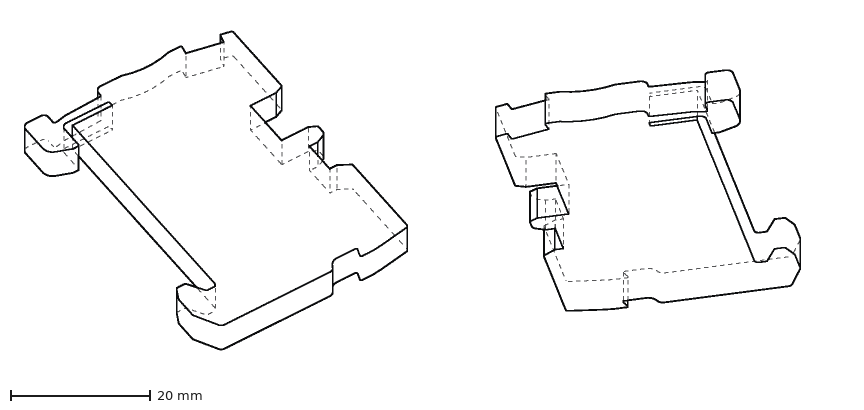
import cadquery as cq
import math

length = 48.2
height = 35.3
thickness = 5.2

rail_seat_y = 6.02
spring_leg_left_x = 1.65
slot_left_x = 3.2
slot_right_x = 4.05
slot_top_y = 12.9
foot_top_y = 4.68
foot_tip_x = 7.85
foot_heel_y = 4.05
shoulder_y = 12.65
hook_tip_x = 38.45
hook_root_x = 41.3
right_notch_x = 46.5
deep_pocket_left_x = 15.15
deep_pocket_right_x = 23.2
deep_pocket_floor_y = 29.4
shallow_pocket_left_x = 26.35
shallow_pocket_right_x = 31.55
shallow_pocket_floor_y = 32.1

waist_top_y = 25.35
waist_bottom_y = 17.2
waist_depth = 0.65

left_side = [
    (1.75, height, 0.35),
    (1.3, 33.4, 0.15),
    (2.8, 33.05, 0.15),
    (1.55, 27.35, 0),
    (0, 27.6, 0.3),
    (0, shoulder_y, 0.95),
    (spring_leg_left_x, shoulder_y, 0.25),
    (1.9, 6.25, 0),
    (2.2, 4.65, 0),
    (2.2, foot_heel_y, 0.25),
]
spring_foot = [
    (0, foot_heel_y, 0.7),
    (0, 0, 0.95),
    (6.5, 0, 1.75),
    (foot_tip_x, 3.55, 0.7),
    (foot_tip_x, foot_top_y, 0.25),
    (slot_left_x, foot_top_y, 0.85),
    (slot_left_x, slot_top_y, 0.25),
    (slot_right_x, slot_top_y, 0.1),
    (slot_right_x, rail_seat_y, 0),
]
rail_hook = [
    (hook_root_x, rail_seat_y, 0.6),
    (hook_root_x, 4.3, 0.35),
    (hook_tip_x, 2.5, 0.1),
    (hook_tip_x, 0.95, 0.4),
    (40.5, 0, 0.85),
    (44.15, 0, 0.25),
    (length, 2.25, 0.85),
]
right_side = [
    (length, 21.6, 0.9),
    (right_notch_x, 22.45, 1.45),
    (right_notch_x, 26.85, 0.25),
    (length, 26.25, 0.25),
    (length, 28.45, 0),
    (48.0, 30.1, 0),
    (47.15, height, 0.4),
]
top_edge = [
    (32.75, height, 0.3),
    (shallow_pocket_right_x, 33.35, 0),
    (shallow_pocket_right_x, shallow_pocket_floor_y, 0),
    (shallow_pocket_left_x, shallow_pocket_floor_y, 0),
    (shallow_pocket_left_x, 33.55, 0),
    (25.55, height, 0.75),
    (23.8, height, 0.3),
    (deep_pocket_right_x, 34.05, 0),
    (deep_pocket_right_x, deep_pocket_floor_y, 0),
    (deep_pocket_left_x, deep_pocket_floor_y, 0),
    (deep_pocket_left_x, 33.85, 0),
    (14.5, height, 0.15),
]


def corner_arc(before, corner, after):
    """Start, middle and end of the arc that rounds a corner between two straight sides."""
    apex = cq.Vector(corner[0], corner[1])
    radius = corner[2]
    to_before = (cq.Vector(before[0], before[1]) - apex).normalized()
    to_after = (cq.Vector(after[0], after[1]) - apex).normalized()
    half_angle = to_before.getAngle(to_after) / 2
    tangent_length = radius / math.tan(half_angle)
    apex_to_arc = radius / math.sin(half_angle) - radius
    bisector = (to_before + to_after).normalized()
    return (
        apex + to_before * tangent_length,
        apex + bisector * apex_to_arc,
        apex + to_after * tangent_length,
    )


def rounded_plate(corners):
    """Extrude a closed outline whose corners carry their own rounding radii."""
    last_arc = corner_arc(corners[-2], corners[-1], corners[0])
    outline = cq.Workplane("XY").moveTo(last_arc[2].x, last_arc[2].y)
    for index, corner in enumerate(corners):
        after = corners[(index + 1) % len(corners)]
        start, middle, end = corner_arc(corners[index - 1], corner, after)
        outline = outline.lineTo(start.x, start.y)
        if corner[2] > 0:
            outline = outline.threePointArc((middle.x, middle.y), (end.x, end.y))
    return outline.close().extrude(thickness)


def waist_cutter():
    """Circular segment removed from the left edge."""
    middle_y = (waist_top_y + waist_bottom_y) / 2
    return (
        cq.Workplane("XY")
        .moveTo(0, waist_bottom_y)
        .threePointArc((waist_depth, middle_y), (0, waist_top_y))
        .close()
        .extrude(thickness)
    )


plate = rounded_plate(left_side + spring_foot + rail_hook + right_side + top_edge)
result = plate.cut(waist_cutter())